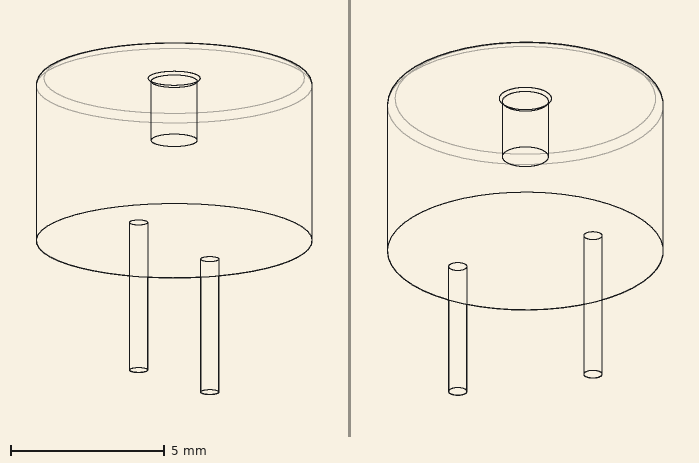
import cadquery as cq

total_height = 10.5
body_diameter = 9.0
long_lead_length = 5.0
short_lead_length = 4.5
body_height = total_height - long_lead_length
top_edge_radius = 0.25

sound_hole_diameter = 1.5
sound_hole_depth = 2.1
sound_hole_edge = 0.1

lead_diameter = 0.6
lead_spacing = 5.0


def make_body():
    """Can with its underside at Z = 0 and a rounded top edge."""
    can = cq.Workplane("XY").circle(body_diameter / 2).extrude(body_height)
    return can.faces(">Z").edges().fillet(top_edge_radius)


def make_sound_hole():
    """Blind cutter with a chamfered mouth, centred in the top face."""
    bore = (
        cq.Workplane("XY", origin=(0, 0, body_height - sound_hole_depth))
        .circle(sound_hole_diameter / 2)
        .extrude(sound_hole_depth)
    )
    mouth_radius = sound_hole_diameter / 2 + sound_hole_edge
    mouth = cq.Solid.makeCone(
        mouth_radius,
        sound_hole_diameter / 2,
        sound_hole_edge,
        pnt=cq.Vector(0, 0, body_height),
        dir=cq.Vector(0, 0, -1),
    )
    return bore.union(cq.Workplane(mouth))


def make_lead(x, length):
    """Round lead hanging from the underside of the can."""
    return cq.Workplane("XY").center(x, 0).circle(lead_diameter / 2).extrude(-length)


result = make_body().cut(make_sound_hole())
result = result.union(make_lead(-lead_spacing / 2, long_lead_length))
result = result.union(make_lead(lead_spacing / 2, short_lead_length))